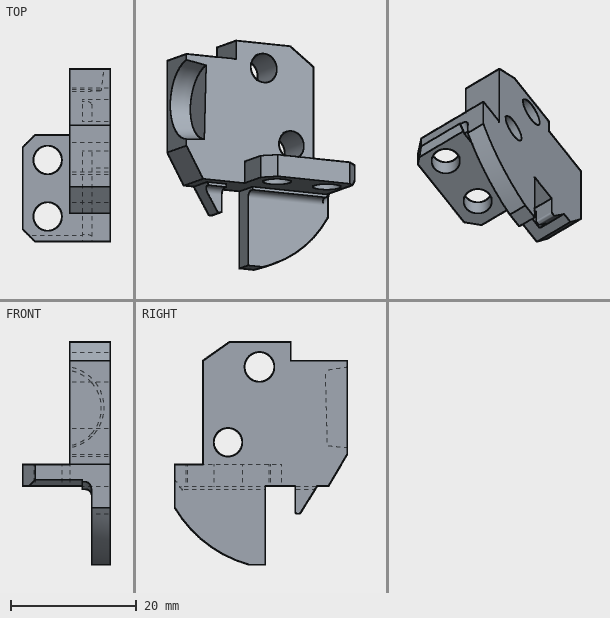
import cadquery as cq
import math

WIDTH = 14.0
LENGTH = 27.5
TOP_Z = 23.0
SKIRT_BOTTOM_Z = -12.5

BLOCK_X = 7.5
BLOCK_FRONT_Y = 4.5
SHOULDER_Z = 20.0
SHOULDER_Y = 18.5
NOSE_CHAMFER_Y = 8.75
HEEL_Z = 5.1
HEEL_SETBACK = 3.0
UPPER_HOLE_Y, UPPER_HOLE_Z, UPPER_HOLE_DIAMETER = 13.5, 19.0, 4.7
LOWER_HOLE_Y, LOWER_HOLE_Z, LOWER_HOLE_DIAMETER = 8.5, 7.0, 4.5

PLATE_LENGTH = 17.0
PLATE_THICKNESS = 3.5
PLATE_CORNER = 2.0
PLATE_UNDER_CHAMFER = 1.0
PLATE_HOLE_DIAMETER = 4.5
PLATE_HOLE_X = 4.0
PLATE_HOLE_YS = (4.0, 13.0)

WALL_X = 11.0
LEDGE_X = 9.5
LEDGE_DEPTH = 0.5
LEDGE_FILLET = 1.0
LEDGE_BEVEL_Z = 0.7
SKIRT_BACK_Y = 14.45
SKIRT_FRONT_Z = -3.4
SKIRT_ARC_END_Y = 11.8
SKIRT_ARC_RADIUS = 20.0
HOOK_FRONT_Y = 19.2
HOOK_BACK_Y = 22.7
HOOK_BOTTOM_Z = -4.4
HOOK_TIP_WIDTH = 0.75
HOOK_TIP_FILLET = 0.3

RECESS_X = 6.4
RECESS_Z = 12.57
RECESS_RADIUS = 6.52
RECESS_DEPTH = 3.4
RECESS_TAPER = 7.0
RECESS_TILT = 1.6

RECESS_OVERRUN = 5.0


def extrude_to_side(outline, start_x):
    """Extrude a YZ outline from start_x to the flat +X side of the part."""
    return outline.extrude(WIDTH - start_x)


def yz_plane(start_x):
    """Workplane at X = start_x whose local axes are Y and Z."""
    return cq.Workplane("YZ", origin=(start_x, 0, 0))


def make_block():
    """Upright slab with a stepped top, a chamfered nose and a sloping heel."""
    outline = yz_plane(BLOCK_X).polyline([
        (BLOCK_FRONT_Y, 0),
        (LENGTH - HEEL_SETBACK, 0),
        (LENGTH, HEEL_Z),
        (LENGTH, SHOULDER_Z),
        (SHOULDER_Y, SHOULDER_Z),
        (SHOULDER_Y, TOP_Z),
        (NOSE_CHAMFER_Y, TOP_Z),
        (BLOCK_FRONT_Y, SHOULDER_Z),
    ]).close()
    return extrude_to_side(outline, BLOCK_X)


def make_plate():
    """Flat plate with cut corners and a bevel under its front edge."""
    plate = cq.Workplane("XY").box(WIDTH, PLATE_LENGTH, PLATE_THICKNESS, centered=False)
    plate = plate.edges("|Z and <X").chamfer(PLATE_CORNER)
    bevel = yz_plane(0).polyline([
        (0, 0),
        (PLATE_UNDER_CHAMFER, 0),
        (0, PLATE_UNDER_CHAMFER),
    ]).close().extrude(LEDGE_X)
    return plate.cut(bevel)


def make_skirt():
    """Wall hanging under the plate, with a convex arc along its lower front edge."""
    half_y = SKIRT_ARC_END_Y / 2
    half_z = (SKIRT_BOTTOM_Z - SKIRT_FRONT_Z) / 2
    half_chord = math.hypot(half_y, half_z)
    bulge = SKIRT_ARC_RADIUS - math.sqrt(SKIRT_ARC_RADIUS**2 - half_chord**2)
    arc_middle = (
        half_y + bulge * half_z / half_chord,
        SKIRT_FRONT_Z + half_z - bulge * half_y / half_chord,
    )
    outline = (
        yz_plane(LEDGE_X)
        .moveTo(0, 0)
        .lineTo(0, SKIRT_FRONT_Z)
        .threePointArc(arc_middle, (SKIRT_ARC_END_Y, SKIRT_BOTTOM_Z))
        .lineTo(SKIRT_BACK_Y, SKIRT_BOTTOM_Z)
        .lineTo(SKIRT_BACK_Y, 0)
        .close()
    )
    return extrude_to_side(outline, LEDGE_X)


def make_hook():
    """Pointed tooth behind the skirt, sloping on its back side."""
    outline = yz_plane(LEDGE_X).polyline([
        (HOOK_FRONT_Y, 0),
        (HOOK_FRONT_Y, HOOK_BOTTOM_Z),
        (HOOK_FRONT_Y + HOOK_TIP_WIDTH, HOOK_BOTTOM_Z),
        (HOOK_BACK_Y, 0),
    ]).close()
    hook = extrude_to_side(outline, LEDGE_X)
    return hook.faces("<Z").edges("|X").fillet(HOOK_TIP_FILLET)


def ledge_clearance(plane):
    """Space under the ledge: a flat ceiling at the plane's origin, filleted into the wall."""
    ledge_width = WALL_X - LEDGE_X
    return (
        cq.Workplane(plane)
        .lineTo(ledge_width - LEDGE_FILLET, 0)
        .radiusArc((ledge_width, -LEDGE_FILLET), LEDGE_FILLET)
        .lineTo(ledge_width, -LENGTH)
        .lineTo(0, -LENGTH)
        .close()
        .extrude(LENGTH, both=True)
    )


def cut_ledge(body):
    """Shape the ledge with a level clearance and a 45-degree one at the front edge."""
    level = cq.Plane((LEDGE_X, 0, -LEDGE_DEPTH), xDir=(1, 0, 0), normal=(0, -1, 0))
    sloped = cq.Plane((LEDGE_X, 0, LEDGE_BEVEL_Z), xDir=(1, 0, 0), normal=(0, -1, 1))
    return body.cut(ledge_clearance(level)).cut(ledge_clearance(sloped))


def make_recess():
    """Cone narrowing into the block, around an axis tilted slightly downwards."""
    taper = math.tan(math.radians(RECESS_TAPER))
    outer_radius = RECESS_RADIUS + RECESS_OVERRUN * taper
    inner_radius = RECESS_RADIUS - RECESS_DEPTH * taper
    cone = cq.Workplane("XY").polyline([
        (0, RECESS_OVERRUN),
        (outer_radius, RECESS_OVERRUN),
        (inner_radius, -RECESS_DEPTH),
        (0, -RECESS_DEPTH),
    ]).close().revolve(360, (0, 0, 0), (0, 1, 0))
    cone = cone.rotate((0, 0, 0), (1, 0, 0), RECESS_TILT)
    return cone.translate((RECESS_X, LENGTH, RECESS_Z))


def drill_holes(body):
    """Drill the through holes of the block and of the plate."""
    block_holes = [
        (UPPER_HOLE_Y, UPPER_HOLE_Z, UPPER_HOLE_DIAMETER),
        (LOWER_HOLE_Y, LOWER_HOLE_Z, LOWER_HOLE_DIAMETER),
    ]
    for y, z, diameter in block_holes:
        body = body.cut(yz_plane(0).center(y, z).circle(diameter / 2).extrude(WIDTH))
    for y in PLATE_HOLE_YS:
        drill = cq.Workplane("XY").center(PLATE_HOLE_X, y).circle(PLATE_HOLE_DIAMETER / 2)
        body = body.cut(drill.extrude(PLATE_THICKNESS))
    return body


plate_and_skirt = cut_ledge(make_plate().union(make_skirt()).union(make_hook()))
result = drill_holes(plate_and_skirt.union(make_block()).cut(make_recess()))